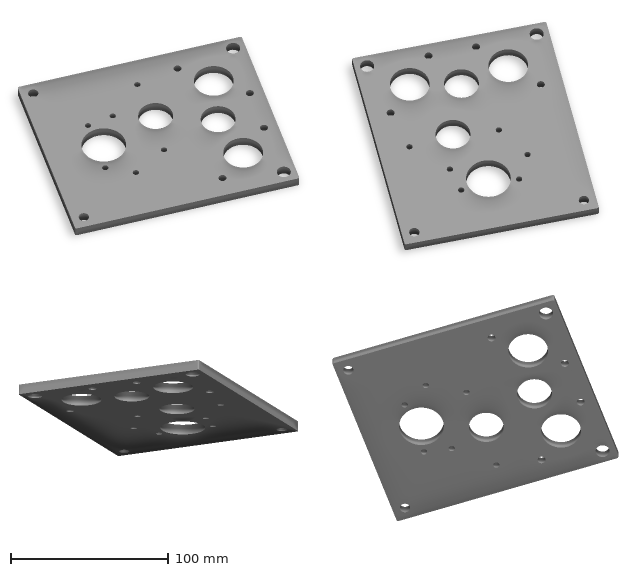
import cadquery as cq

length = 149.2
width = 127.0
thickness = 6.4
corner_radius = 1.0
corner_inset = 8.0

top_corner_diameter = 9.0
bottom_corner_diameter = 6.5
port_diameter = 25.4
dial_diameter = 22.2
socket_diameter = 28.5
mount_diameter = 5.0
screw_diameter = 4.0

corner_x, corner_y = width / 2 - corner_inset, length / 2 - corner_inset
port_x, port_y = 32.2, 46.5
top_mount_x, top_mount_y = 15.5, 65.5
side_mount_x, side_mount_y = 49.1, 27.6
socket_screw_x, socket_screw_y = 19.0, -41.2

upper_dial_y = 39.7
socket_y = -36.4

lower_dial_x, lower_dial_y = -14.2, 2.4
dial_screw_half_spacing = 29.2
dial_screw_y = -0.9

upper_screw_center_x, upper_screw_y = 3.1, -23.7
upper_screw_half_spacing = 25.4


def pair(half_spacing, y, center_x=0):
    """Two points at the same height, equally spaced about center_x."""
    return [(center_x - half_spacing, y), (center_x + half_spacing, y)]


holes = [
    (top_corner_diameter, pair(corner_x, corner_y)),
    (bottom_corner_diameter, pair(corner_x, -corner_y)),
    (port_diameter, pair(port_x, port_y)),
    (dial_diameter, [(0, upper_dial_y), (lower_dial_x, lower_dial_y)]),
    (socket_diameter, [(0, socket_y)]),
    (mount_diameter, pair(top_mount_x, top_mount_y) + pair(side_mount_x, side_mount_y)),
    (
        screw_diameter,
        pair(dial_screw_half_spacing, dial_screw_y, lower_dial_x)
        + pair(upper_screw_half_spacing, upper_screw_y, upper_screw_center_x)
        + pair(socket_screw_x, socket_screw_y),
    ),
]

plate = cq.Workplane("XY").box(width, length, thickness).edges("|Z").fillet(corner_radius)

for diameter, centers in holes:
    plate = plate.faces(">Z").workplane(origin=(0, 0, 0)).pushPoints(centers).hole(diameter)

result = plate